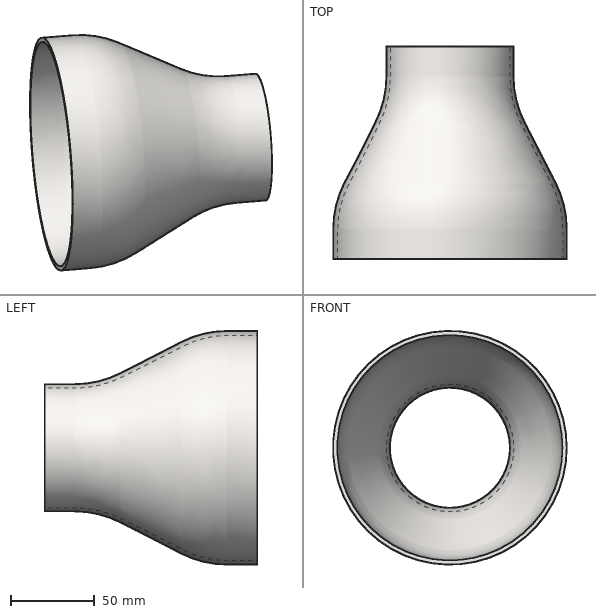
import cadquery as cq
import math

length = 127.0
wide_outer_diameter = 139.7
wide_inner_diameter = 134.5
narrow_outer_diameter = 76.1
narrow_inner_diameter = 71.5
collar_length = 18.0
bend_radius = 60.0

wide_wall = (wide_outer_diameter - wide_inner_diameter) / 2
narrow_wall = (narrow_outer_diameter - narrow_inner_diameter) / 2

wide_bend_y = collar_length
narrow_bend_y = length - collar_length


def cone_angle(radius_step, step_length, total_bend_radius):
    """Angle between the axis and the straight cone that is tangent to both bends.

    radius_step and step_length are the radial and axial distances from the
    centre of the wide bend to the centre of the narrow bend.
    """
    centre_distance = math.hypot(radius_step, step_length)
    centre_direction = math.atan2(step_length, radius_step)
    return centre_direction - math.acos(total_bend_radius / centre_distance)


def reducer_solid(wide_diameter, narrow_diameter, wide_bend_radius, narrow_bend_radius):
    """Solid of revolution: collar, convex bend, cone, concave bend, collar."""
    wide_radius = wide_diameter / 2
    narrow_radius = narrow_diameter / 2
    wide_centre_r = wide_radius - wide_bend_radius
    narrow_centre_r = narrow_radius + narrow_bend_radius
    angle = cone_angle(
        narrow_centre_r - wide_centre_r,
        narrow_bend_y - wide_bend_y,
        wide_bend_radius + narrow_bend_radius,
    )

    def on_wide_bend(turn):
        return (
            wide_centre_r + wide_bend_radius * math.cos(turn),
            wide_bend_y + wide_bend_radius * math.sin(turn),
        )

    def on_narrow_bend(turn):
        return (
            narrow_centre_r - narrow_bend_radius * math.cos(turn),
            narrow_bend_y - narrow_bend_radius * math.sin(turn),
        )

    return (
        cq.Workplane("XY")
        .moveTo(0, 0)
        .lineTo(wide_radius, 0)
        .lineTo(wide_radius, wide_bend_y)
        .threePointArc(on_wide_bend(angle / 2), on_wide_bend(angle))
        .lineTo(*on_narrow_bend(angle))
        .threePointArc(on_narrow_bend(angle / 2), (narrow_radius, narrow_bend_y))
        .lineTo(narrow_radius, length)
        .lineTo(0, length)
        .close()
        .revolve(360, (0, 0, 0), (0, 1, 0))
    )


outer_body = reducer_solid(wide_outer_diameter, narrow_outer_diameter, bend_radius, bend_radius)

bore = reducer_solid(
    wide_inner_diameter,
    narrow_inner_diameter,
    bend_radius - wide_wall,
    bend_radius + narrow_wall,
)

result = outer_body.cut(bore)